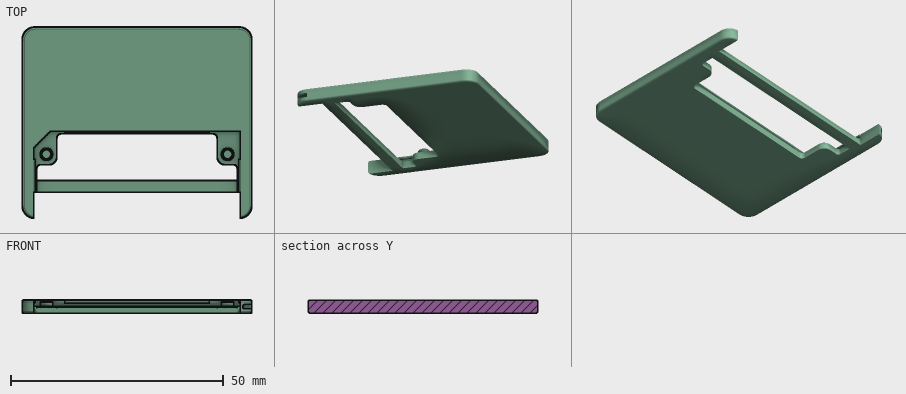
import cadquery as cq

width = 54.0
length = 45.0
thickness = 3.2
corner_radius = 3.0
edge_round = 0.5

arm_width = 2.75
bay_back = 20.45
key_chamfer = 3.9
floor_height = 1.7

rail_width = 0.75
bar_front = 6.1
bar_depth = 2.85
bar_height = 1.4
ear_front = 12.6
ear_side = 8.2
window_back = 19.85
ear_radius = 1.95
window_back_radius = 1.0
window_side_radius = 0.75

pin_diameter = 2.9
pin_inset = 5.7
pin_y = 15.05
pin_height = 1.35
pin_chamfer = 0.4

ridge_height = 0.75
side_ridge_bulge = 0.4
side_ridge_back = 13.95
back_ridge_bulge = 0.2
back_ridge_inset = 10.05

notch_depth = 2.15
notch_height = 1.0
notch_back = 3.25

bay_right = width - arm_width
rail_inner = arm_width + rail_width
window_front = bar_front + bar_depth
overlap = 0.1


def make_plate():
    plate = cq.Workplane("XY").rect(width, length, centered=False).extrude(thickness)
    plate = plate.edges("|Z").fillet(corner_radius)
    return plate.faces("<Z or >Z").edges().fillet(edge_round)


def make_bay():
    """Open front of the bay, plus the space above its floor."""
    entry = cq.Workplane("XY").rect(width - 2 * arm_width, bar_front, centered=False)
    entry = entry.extrude(thickness).translate((arm_width, 0, 0))
    recess = (
        cq.Workplane("XY", origin=(0, 0, floor_height))
        .moveTo(arm_width, 0)
        .lineTo(bay_right, 0)
        .lineTo(bay_right, bay_back)
        .lineTo(arm_width + key_chamfer, bay_back)
        .lineTo(arm_width, bay_back - key_chamfer)
        .close()
        .extrude(thickness - floor_height)
    )
    return entry.union(recess)


def make_window():
    """Window narrowed at the back by the two ears that carry the pins."""
    window = (
        cq.Workplane("XY")
        .moveTo(rail_inner, window_front)
        .lineTo(width - rail_inner, window_front)
        .lineTo(width - rail_inner, ear_front)
        .lineTo(width - ear_side, ear_front)
        .lineTo(width - ear_side, window_back)
        .lineTo(ear_side, window_back)
        .lineTo(ear_side, ear_front)
        .lineTo(rail_inner, ear_front)
        .close()
        .extrude(floor_height)
    )

    def upright_edges(x, y):
        reach = 0.05
        left = cq.selectors.BoxSelector((x - reach, y - reach, 0), (x + reach, y + reach, floor_height))
        right_x = width - x
        right = cq.selectors.BoxSelector(
            (right_x - reach, y - reach, 0), (right_x + reach, y + reach, floor_height)
        )
        return left + right

    window = window.edges(upright_edges(ear_side, ear_front)).fillet(ear_radius)
    window = window.edges(upright_edges(ear_side, window_back)).fillet(window_back_radius)
    return window.edges(upright_edges(rail_inner, ear_front)).fillet(window_side_radius)


def make_bar_step():
    """Space that lowers the bar below the rails."""
    step = cq.Workplane("XY").rect(width - 2 * rail_inner, bar_depth, centered=False)
    return step.extrude(floor_height - bar_height).translate((rail_inner, bar_front, bar_height))


def make_pin(x):
    pin = cq.Workplane("XY", origin=(x, pin_y, floor_height - overlap))
    pin = pin.circle(pin_diameter / 2).extrude(pin_height + overlap)
    return pin.faces(">Z").chamfer(pin_chamfer)


def make_ridge(plane, bulge, span):
    """Arc-section ridge; the plane's local x points out of the wall and its local y points up."""
    return (
        cq.Workplane(plane)
        .moveTo(-overlap, 0)
        .lineTo(0, 0)
        .threePointArc((bulge, -ridge_height / 2), (0, -ridge_height))
        .lineTo(-overlap, -ridge_height)
        .close()
        .extrude(span)
    )


def make_ridges():
    side_span = side_ridge_back - bar_front
    left_plane = cq.Plane((arm_width, side_ridge_back, thickness), xDir=(1, 0, 0), normal=(0, -1, 0))
    right_plane = cq.Plane((bay_right, bar_front, thickness), xDir=(-1, 0, 0), normal=(0, 1, 0))
    back_plane = cq.Plane((width - back_ridge_inset, bay_back, thickness), xDir=(0, -1, 0), normal=(-1, 0, 0))
    return [
        make_ridge(left_plane, side_ridge_bulge, side_span),
        make_ridge(right_plane, side_ridge_bulge, side_span),
        make_ridge(back_plane, back_ridge_bulge, width - 2 * back_ridge_inset),
    ]


def make_notch():
    radius = notch_height / 2
    straight = notch_depth - radius
    bottom = thickness / 2 - radius
    return (
        cq.Workplane("XZ")
        .moveTo(width, bottom)
        .lineTo(width - straight, bottom)
        .threePointArc((width - notch_depth, thickness / 2), (width - straight, bottom + notch_height))
        .lineTo(width, bottom + notch_height)
        .close()
        .extrude(-notch_back)
    )


result = make_plate().cut(make_bay()).cut(make_window()).cut(make_bar_step()).cut(make_notch())
for pin_x in (pin_inset, width - pin_inset):
    result = result.union(make_pin(pin_x))
for ridge in make_ridges():
    result = result.union(ridge)